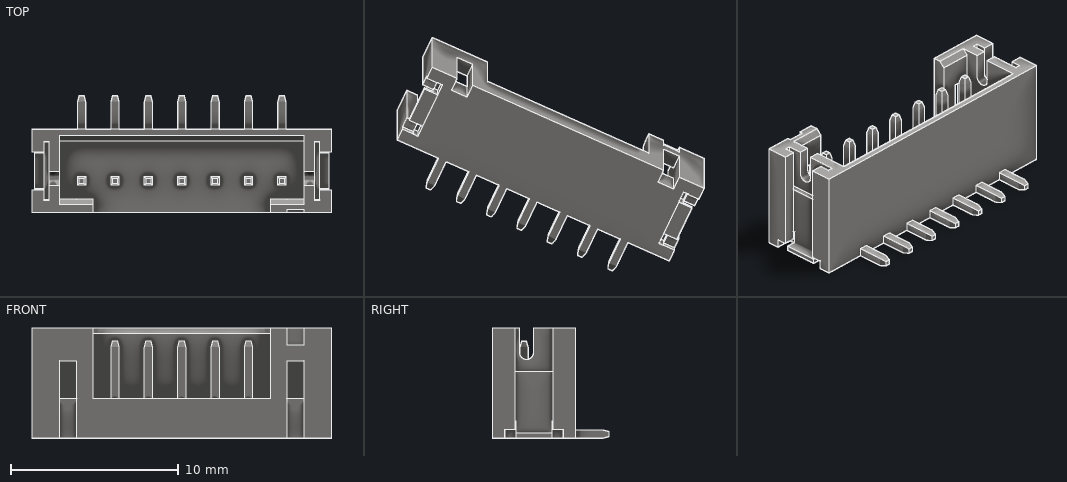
import cadquery as cq


length = 17.95
depth = 4.99
height = 6.6

end_thickness = 1.65
front_wall = 0.8
back_wall = 0.7
floor_z = 2.37
lead_in = 0.32
cavity_length = length - 2 * end_thickness

window_length = 10.63
slot_width = 1.02
slot_height = 4.63
key_depth = 0.2
key_height = 1.0

pin_count = 7
first_pin_inset = 2.98
pin_pitch = (length - 2 * first_pin_inset) / (pin_count - 1)
pin_width = 0.5
pin_tip_width = 0.3
pin_tip_length = 0.38
pin_y = 1.9
pin_top = 5.82
pin_back = 7.0

notch_width = 0.83
notch_y = 2.05
notch_bottom = 4.72
notch_radius = notch_width / 2

tab_thickness = 0.3
tab_face = 0.72
tab_width = 3.48
tab_height = 4.0
tab_neck_height = 1.05
foot_width = 2.15
foot_inset = 0.15
bend_radius = 0.05
channel_width = 2.26
channel_pocket_width = 3.52
foot_recess_height = 0.52
channel_depth = tab_face + tab_thickness


def block(x_min, x_max, y_min, y_max, z_min, z_max):
    """Box given by its limits along each axis."""
    size = (x_max - x_min, y_max - y_min, z_max - z_min)
    return cq.Workplane("XY").box(*size, centered=False).translate((x_min, y_min, z_min))


def centred_block(x_min, x_max, width, z_min, z_max):
    """Box centred on the mid-plane of the housing depth."""
    return block(x_min, x_max, (depth - width) / 2, (depth + width) / 2, z_min, z_max)


def mirrored(shape):
    """The same shape at the opposite end."""
    return shape.mirror("YZ")


def make_cavity():
    """Cavity with a sloped lead-in along the top of the front and back walls."""
    back = depth - back_wall
    profile = [
        (front_wall, floor_z),
        (back, floor_z),
        (back, height - lead_in),
        (back + lead_in, height),
        (front_wall - lead_in, height),
        (front_wall, height - lead_in),
    ]
    return cq.Workplane("YZ").polyline(profile).close().extrude(cavity_length / 2, both=True)


def make_window():
    """Wide opening through the front wall, down to the cavity floor."""
    return block(-window_length / 2, window_length / 2, 0, front_wall, floor_z, height)


def make_front_slot():
    """Slot through the front wall near the left end."""
    x_min = -cavity_length / 2
    return block(x_min, x_min + slot_width, 0, front_wall, 0, slot_height)


def make_key():
    """Shallow recess above the right slot only."""
    x_max = cavity_length / 2
    return block(x_max - slot_width, x_max, 0, key_depth, height - key_height, height)


def make_end_channel():
    """T-shaped channel in the left end, with a recess for the foot at the bottom."""
    end = -length / 2
    pocket = centred_block(end + tab_face, end + channel_depth, channel_pocket_width, 0, height)
    mouth = centred_block(end, end + tab_face, channel_width, 0, height)
    recess = centred_block(end, end + channel_depth, tab_width, 0, foot_recess_height)
    return pocket.union(mouth).union(recess)


def make_end_notch():
    """Round-bottomed notch through the left end wall."""
    arc_z = notch_bottom + notch_radius
    profile = (
        cq.Workplane("YZ", origin=(-length / 2, 0, 0))
        .moveTo(notch_y - notch_radius, height)
        .lineTo(notch_y - notch_radius, arc_z)
        .threePointArc((notch_y, notch_bottom), (notch_y + notch_radius, arc_z))
        .lineTo(notch_y + notch_radius, height)
        .close()
    )
    return profile.extrude(end_thickness)


def make_post(base_plane, post_length):
    """Square post with a tapered tip, grown from the given plane."""
    shank_length = post_length - pin_tip_length
    shank = cq.Workplane(base_plane).rect(pin_width, pin_width).extrude(shank_length)
    tip = (
        cq.Workplane(base_plane)
        .workplane(offset=shank_length)
        .rect(pin_width, pin_width)
        .workplane(offset=pin_tip_length)
        .rect(pin_tip_width, pin_tip_width)
        .loft()
    )
    return shank.union(tip)


def make_pin(x):
    """Vertical contact joined to a horizontal tail that leaves through the back."""
    contact_plane = cq.Plane(origin=(x, pin_y, 0), normal=(0, 0, 1))
    tail_plane = cq.Plane(origin=(x, pin_y, pin_width / 2), xDir=(1, 0, 0), normal=(0, 1, 0))
    contact = make_post(contact_plane, pin_top)
    tail = make_post(tail_plane, pin_back - pin_y)
    return contact.union(tail)


def make_housing():
    """Housing in one piece with its pins."""
    body = block(-length / 2, length / 2, 0, depth, 0, height)
    body = body.cut(make_cavity()).cut(make_window()).cut(make_key())
    for cutter in (make_front_slot(), make_end_channel(), make_end_notch()):
        body = body.cut(cutter).cut(mirrored(cutter))
    for index in range(pin_count):
        x = first_pin_inset - length / 2 + index * pin_pitch
        body = body.union(make_pin(x))
    return body


def make_solder_tab():
    """Left tab: upright plate, narrowed at the bottom, with a foot bent outward."""
    end = -length / 2
    inner_x = end + channel_depth
    outer_x = end + tab_face
    plate = centred_block(outer_x, inner_x, tab_width, tab_neck_height, tab_height)
    foot_profile = (
        cq.Workplane("XZ", origin=(0, (depth + foot_width) / 2, 0))
        .moveTo(inner_x, tab_neck_height)
        .lineTo(inner_x, 0)
        .lineTo(end + foot_inset, 0)
        .lineTo(end + foot_inset, tab_thickness)
        .lineTo(outer_x - bend_radius, tab_thickness)
        .radiusArc((outer_x, tab_thickness + bend_radius), -bend_radius)
        .lineTo(outer_x, tab_neck_height)
        .close()
    )
    return plate.union(foot_profile.extrude(foot_width))


housing = make_housing()
left_tab = make_solder_tab()
right_tab = mirrored(left_tab)

result = cq.Compound.makeCompound([housing.val(), left_tab.val(), right_tab.val()])